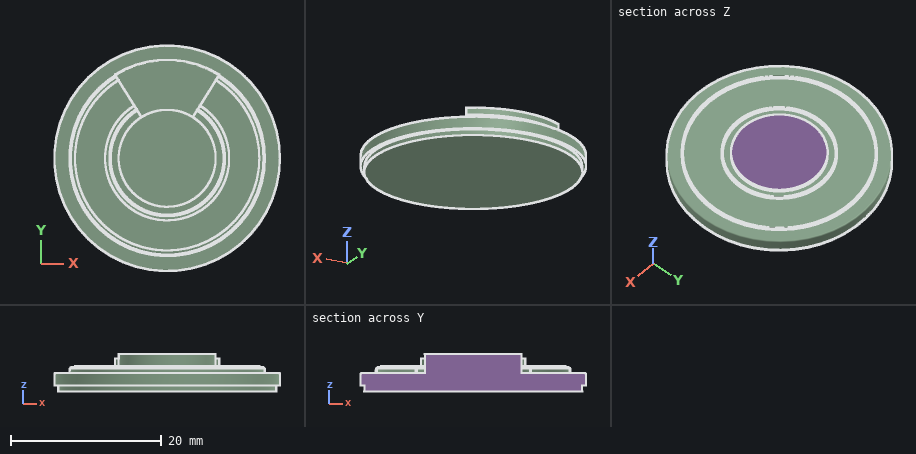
import cadquery as cq
import math

base_diameter = 29.0
base_height = 0.8
flange_diameter = 30.0
flange_top = 2.5
flange_edge_radius = 0.2

ring_outer_diameter = 26.0
ring_inner_diameter = 15.0
ring_height = 0.8
ring_edge_radius = 0.5
ring_wall = 0.2
plate_outer_diameter = 24.5
plate_inner_diameter = 16.5
plate_thickness = 0.1
ring_top = flange_top + ring_height
plate_top = ring_top + plate_thickness

boss_diameter = 12.9
overall_height = 5.0

tab_outer_radius = 13.1
tab_half_angle = math.radians(32)
tab_thickness = 1.0


def disc(diameter, bottom, top):
    """Solid cylinder on the Z axis between two heights."""
    return cq.Workplane("XY").workplane(offset=bottom).circle(diameter / 2).extrude(top - bottom)


def annulus(outer_diameter, inner_diameter, bottom, top):
    """Flat ring on the Z axis between two heights."""
    return disc(outer_diameter, bottom, top).cut(disc(inner_diameter, bottom, top))


def make_body():
    """Base disc with the flange, whose upper rim is rounded."""
    flange = disc(flange_diameter, base_height, flange_top)
    flange = flange.faces(">Z").edges().fillet(flange_edge_radius)
    return disc(base_diameter, 0, base_height).union(flange)


def make_ring():
    """Hollow ring, rounded on both upper edges, with the cap plate on top."""
    ring = annulus(ring_outer_diameter, ring_inner_diameter, flange_top, ring_top)
    ring = ring.faces(">Z").edges().fillet(ring_edge_radius)
    cavity = annulus(
        ring_outer_diameter - 2 * ring_wall,
        ring_inner_diameter + 2 * ring_wall,
        flange_top,
        ring_top - ring_wall,
    )
    plate = annulus(plate_outer_diameter, plate_inner_diameter, ring_top, plate_top)
    return ring.cut(cavity).union(plate)


def make_tab():
    """Sector centred on +Y that rests on the plate; its tip lies inside the boss."""
    corner_x = tab_outer_radius * math.sin(tab_half_angle)
    corner_y = tab_outer_radius * math.cos(tab_half_angle)
    return (
        cq.Workplane("XY")
        .workplane(offset=plate_top)
        .moveTo(0, 0)
        .lineTo(-corner_x, corner_y)
        .threePointArc((0, tab_outer_radius), (corner_x, corner_y))
        .close()
        .extrude(tab_thickness)
    )


boss = disc(boss_diameter, flange_top, overall_height)
result = make_body().union(make_ring()).union(boss).union(make_tab())